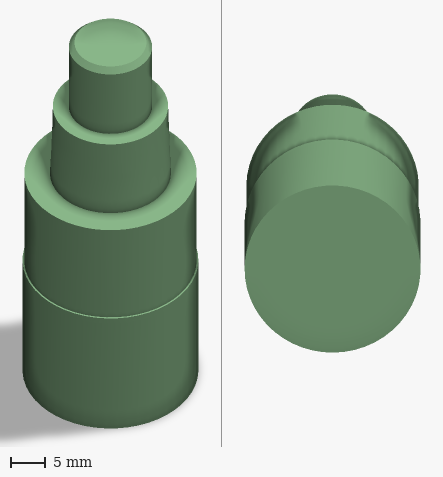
import cadquery as cq

total_height = 63.35
base_height = 20.35
collar_height = 0.95
shoulder_level = 38.15
taper_top_level = 51.05

base_diameter = 25.4
barrel_diameter = 24.9
taper_bottom_diameter = 17.5
taper_top_diameter = 16.65
tip_diameter = 12.05
tip_chamfer = 0.8


def disc(diameter, bottom, top):
    """Upright cylinder on the Z axis between two levels."""
    return cq.Workplane("XY").workplane(offset=bottom).circle(diameter / 2).extrude(top - bottom)


def make_base():
    """Plain cylindrical base."""
    return disc(base_diameter, 0, base_height)


def make_taper():
    """Slightly conical section standing on the shoulder of the barrel."""
    return (
        cq.Workplane("XY")
        .workplane(offset=shoulder_level)
        .circle(taper_bottom_diameter / 2)
        .workplane(offset=taper_top_level - shoulder_level)
        .circle(taper_top_diameter / 2)
        .loft()
    )


def make_stepped_pin():
    """Collar, barrel, taper and chamfered tip, all turned as one body."""
    collar_top = base_height + collar_height
    collar = disc(base_diameter, base_height, collar_top)
    barrel = disc(barrel_diameter, collar_top, shoulder_level)
    tip = disc(tip_diameter, taper_top_level, total_height).faces(">Z").chamfer(tip_chamfer)
    return collar.union(barrel).union(make_taper()).union(tip)


base = make_base()
stepped_pin = make_stepped_pin()

result = cq.Compound.makeCompound([base.val(), stepped_pin.val()])